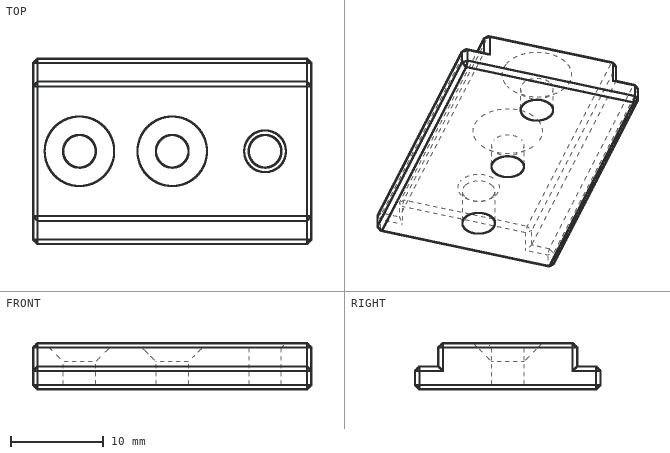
import cadquery as cq

length = 30.0
flange_width = 20.0
height = 5.0

rib_width = 15.0
flange_height = height / 2

edge_chamfer = 0.5

hole_diameter = 3.5
hole_pitch = 10.0
screw_head_diameter = 7.5
mouth_cone_angle = 90.0
chamfered_hole_mouth_diameter = hole_diameter + 2 * edge_chamfer

countersunk_hole_positions = [-hole_pitch, 0.0]
chamfered_hole_position = hole_pitch


def stepped_block():
    """Inverted T-section bar with its base on Z = 0."""
    flanges = cq.Workplane("XY").box(length, flange_width, flange_height, centered=(True, True, False))
    rib = cq.Workplane("XY").box(length, rib_width, height, centered=(True, True, False))
    return flanges.union(rib)


def break_edges(block):
    """Chamfer all edges except the two inside corners where the rib meets the flanges."""
    inside_corners = cq.selectors.BoxSelector(
        (-edge_chamfer, -rib_width / 2 - edge_chamfer, flange_height - edge_chamfer),
        (edge_chamfer, rib_width / 2 + edge_chamfer, flange_height + edge_chamfer),
    )
    outside_edges = cq.selectors.InverseSelector(inside_corners)
    return block.edges(outside_edges).chamfer(edge_chamfer)


def cut_conical_mouth_hole(block, x, mouth_diameter):
    """Drill a through hole with a conical mouth on the top face."""
    return (
        block.faces(">Z")
        .workplane(origin=(0, 0, height))
        .center(x, 0)
        .cskHole(hole_diameter, mouth_diameter, mouth_cone_angle)
    )


result = break_edges(stepped_block())
for x_position in countersunk_hole_positions:
    result = cut_conical_mouth_hole(result, x_position, screw_head_diameter)
result = cut_conical_mouth_hole(result, chamfered_hole_position, chamfered_hole_mouth_diameter)